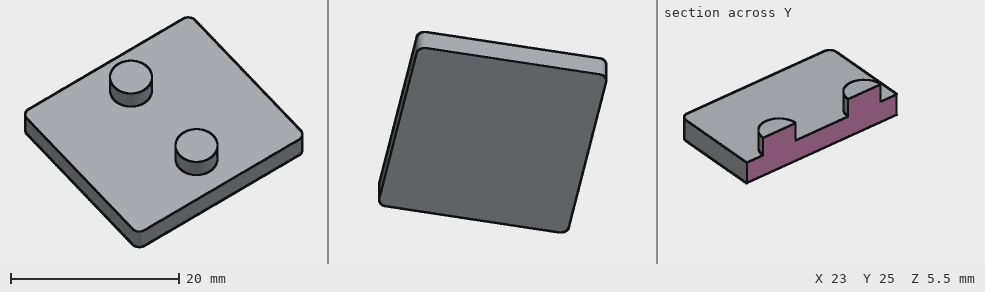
import cadquery as cq

plate_width = 23.0
plate_length = 25.0
plate_thickness = 3.0
corner_radius = 1.0

peg_diameter = 5.0
peg_height = 2.5
peg_spacing = 13.0


def make_plate():
    """Flat rectangular plate with rounded vertical corners."""
    plate = cq.Workplane("XY").box(
        plate_width, plate_length, plate_thickness, centered=(True, True, False)
    )
    return plate.edges("|Z").fillet(corner_radius)


def make_pegs():
    """Pair of cylindrical pegs standing on the top face."""
    return (
        cq.Workplane("XY", origin=(0, 0, plate_thickness))
        .pushPoints([(-peg_spacing / 2, 0), (peg_spacing / 2, 0)])
        .circle(peg_diameter / 2)
        .extrude(peg_height)
    )


result = make_plate().union(make_pegs())